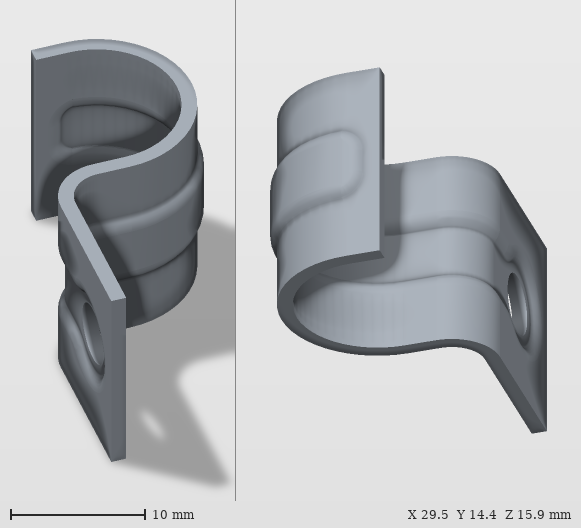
import cadquery as cq
import math

strap_width = 15.87
thickness = 1.18
clamp_radius = 6.3
bend_outer_radius = 3.77
emboss_height = 0.5
overall_length = 29.5
overall_depth = 14.35

band_half_width = 3.25
foot_radius = 0.55
crown_radius = 1.35
end_gap = 0.95
end_corner_radius = 2.35
end_flat_half = 0.9

hole_diameter = 4.78
hole_to_edge = 5.6
pad_radius = 4.42
flare_radius = 1.98

overlap = 0.3

crown_height = clamp_radius + thickness + emboss_height
flange_end_x = overall_length - crown_height
flange_face_y = crown_height - overall_depth
bend_x = clamp_radius + bend_outer_radius
bend_y = flange_face_y + bend_outer_radius
free_leg_length = -bend_y
hole_x = flange_end_x - hole_to_edge

wall_angle = math.acos(1 - emboss_height / (foot_radius + crown_radius))
wall_width = (foot_radius + crown_radius) * math.sin(wall_angle)

flare_rise = band_half_width + flare_radius
flare_reach = math.sqrt((pad_radius + flare_radius) ** 2 - flare_rise ** 2)
flare_x = hole_x - flare_reach
flare_direction = (
    -flare_reach / (pad_radius + flare_radius),
    flare_rise / (pad_radius + flare_radius),
)


def bent_sheet():
    """Plain bent strap without the band."""
    outer_radius = clamp_radius + thickness
    bend_inner_radius = bend_outer_radius - thickness
    flange_top_y = flange_face_y + thickness
    diagonal = math.sqrt(0.5)
    return (
        cq.Workplane("XY", origin=(0, 0, -strap_width / 2))
        .moveTo(-outer_radius, -free_leg_length)
        .lineTo(-outer_radius, 0)
        .threePointArc((0, outer_radius), (outer_radius, 0))
        .lineTo(outer_radius, bend_y)
        .threePointArc(
            (bend_x - bend_inner_radius * diagonal, bend_y - bend_inner_radius * diagonal),
            (bend_x, flange_top_y),
        )
        .lineTo(flange_end_x, flange_top_y)
        .lineTo(flange_end_x, flange_face_y)
        .lineTo(bend_x, flange_face_y)
        .threePointArc(
            (bend_x - bend_outer_radius * diagonal, bend_y - bend_outer_radius * diagonal),
            (clamp_radius, bend_y),
        )
        .lineTo(clamp_radius, 0)
        .threePointArc((0, clamp_radius), (-clamp_radius, 0))
        .lineTo(-clamp_radius, -free_leg_length)
        .close()
        .extrude(strap_width)
    )


def wall_points(foot, crown):
    """(inset, height) of the S wall: foot middle, inflection, crown middle and top."""
    half = wall_angle / 2
    return [
        (foot * math.sin(half), foot * (1 - math.cos(half))),
        (foot * math.sin(wall_angle), foot * (1 - math.cos(wall_angle))),
        (wall_width - crown * math.sin(half), emboss_height - crown * (1 - math.cos(half))),
        (wall_width, emboss_height),
    ]


def band_section(y, face_x, foot, crown):
    """Cross-section of the band across Z, raised in +X from the sheet face at face_x."""
    right = [(face_x + h, band_half_width - d) for d, h in wall_points(foot, crown)]
    left = [(x, -z) for x, z in reversed(right)]
    return (
        cq.Workplane(cq.Plane(origin=(0, y, 0), xDir=(1, 0, 0), normal=(0, -1, 0)))
        .moveTo(face_x - overlap, band_half_width)
        .lineTo(face_x, band_half_width)
        .threePointArc(right[0], right[1])
        .threePointArc(right[2], right[3])
        .lineTo(*left[0])
        .threePointArc(left[1], left[2])
        .threePointArc(left[3], (face_x, -band_half_width))
        .lineTo(face_x - overlap, -band_half_width)
        .close()
    )


def keyhole_outline(plane, inset):
    """Open outline of the band on the flange, moved inwards by inset."""
    half_width = band_half_width - inset
    flare = flare_radius + inset
    pad = pad_radius - inset
    half_turn = math.atan2(flare_reach, flare_rise) / 2
    middle = (flare_x + flare * math.sin(half_turn), flare_rise - flare * math.cos(half_turn))
    join = (hole_x + pad * flare_direction[0], pad * flare_direction[1])
    return (
        cq.Workplane(plane)
        .moveTo(bend_x, half_width)
        .lineTo(flare_x, half_width)
        .threePointArc(middle, join)
        .threePointArc((hole_x + pad, 0), (join[0], -join[1]))
        .threePointArc((middle[0], -middle[1]), (flare_x, -half_width))
        .lineTo(bend_x, -half_width)
    )


def rounded_end_outline(plane, inset):
    """Open outline of the band's free end, moved inwards by inset.

    It is slightly wider than the band, so its corners cross the band's sides instead of touching them.
    """
    radius = end_corner_radius - inset
    half_width = end_flat_half + radius
    centre = free_leg_length - end_gap - end_corner_radius
    diagonal = radius * math.sqrt(0.5)
    return (
        cq.Workplane(plane)
        .moveTo(centre - end_corner_radius, half_width)
        .lineTo(centre, half_width)
        .threePointArc((centre + diagonal, end_flat_half + diagonal), (centre + radius, end_flat_half))
        .lineTo(centre + radius, -end_flat_half)
        .threePointArc((centre + diagonal, -end_flat_half - diagonal), (centre, -half_width))
        .lineTo(centre - end_corner_radius, -half_width)
    )


def plateau(plane, outline, foot, crown, core_height):
    """Flat-topped pad with S walls along an open outline that starts along the plane's x."""
    core = (
        outline(plane, wall_width)
        .close()
        .extrude(core_height + overlap)
        .translate(plane.zDir * -overlap)
    )
    path = outline(plane, 0).wire()
    start = path.val().startPoint()
    points = wall_points(foot, crown)
    section_plane = cq.Plane(origin=start, xDir=plane.yDir * -1, normal=plane.xDir * -1)
    wall = (
        cq.Workplane(section_plane)
        .moveTo(0, -overlap)
        .lineTo(0, 0)
        .threePointArc(points[0], points[1])
        .threePointArc(points[2], points[3])
        .lineTo(wall_width, -overlap)
        .close()
        .sweep(path)
    )
    return core.union(wall)


def raised_band(face_offset, foot, crown):
    """Band raised from the sheet face that lies face_offset from the clamp's inner face."""
    face_x = clamp_radius + face_offset
    z_axis = ((0, 0), (0, 1))
    bend_axis = ((bend_x, 0), (bend_x, 1))
    arch = band_section(0, face_x, foot, crown).revolve(180, *z_axis)
    right_leg = band_section(0, face_x, foot, crown).extrude(-bend_y)
    bend = band_section(bend_y, face_x, foot, crown).revolve(90, *bend_axis)
    left_leg = (
        band_section(0, face_x, foot, crown)
        .extrude(free_leg_length)
        .mirror("YZ")
    )

    flange_plane = cq.Plane(
        origin=(0, flange_face_y + face_offset, 0), xDir=(1, 0, 0), normal=(0, 1, 0)
    )
    flange = plateau(flange_plane, keyhole_outline, foot, crown, emboss_height)

    end_plane = cq.Plane(origin=(-face_x, 0, 0), xDir=(0, -1, 0), normal=(-1, 0, 0))
    end_pad = plateau(end_plane, rounded_end_outline, foot, crown, emboss_height + overlap)
    end_top = end_corner_radius + end_gap - free_leg_length
    trim_depth = emboss_height + 2 * overlap
    end_block = (
        cq.Workplane("XY")
        .box(trim_depth, free_leg_length + end_top, strap_width, centered=(False, False, True))
        .translate((-face_x + overlap - trim_depth, -free_leg_length, 0))
    )
    end_trim = end_block.cut(end_pad)
    clamp = arch.union(left_leg).cut(end_trim)
    return clamp.union(right_leg).union(bend).union(flange)


def screw_hole():
    return (
        cq.Workplane("XZ", origin=(hole_x, 0, 0))
        .circle(hole_diameter / 2)
        .extrude(overall_depth)
    )


result = (
    bent_sheet()
    .union(raised_band(thickness, foot_radius, crown_radius))
    .cut(raised_band(0, foot_radius + thickness, crown_radius - thickness))
    .cut(screw_hole())
)